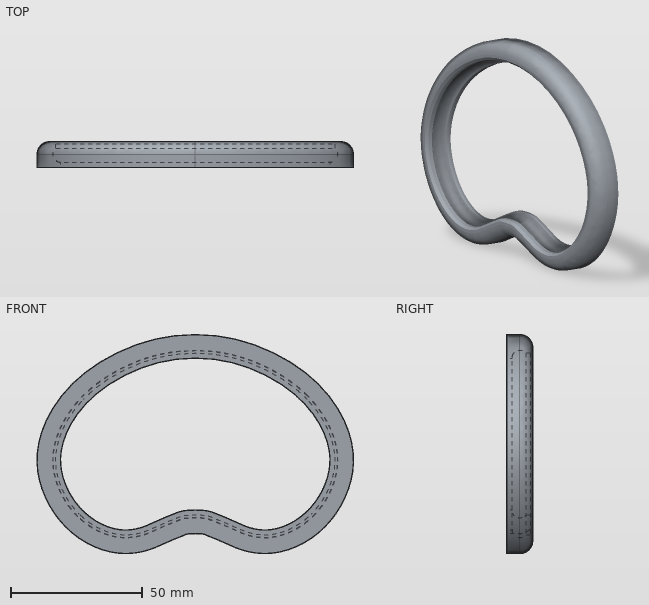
import cadquery as cq
import math

length = 120.0
depth = 10.0
top_height = 41.5
bottom_height = -34.0

rim_width = 9.0
back_radius = depth / 2
groove_radius = 3.0
back_bore_setback = 1.9
back_bore_chamfer = 1.0

half_outline = [
    (0, top_height),
    (28.2, 35.3),
    (49.2, 20.0),
    (length / 2, -6.0),
    (50.8, -29.6),
    (39.4, -38.4),
    (26.4, -41.5),
    (15.5, -39.4),
    (9.6, -36.7),
    (4.2, -34.5),
    (0, bottom_height),
]


def outline_path():
    """Smooth half outline, horizontal where it meets the symmetry plane."""
    points = [cq.Vector(x, 0, z) for x, z in half_outline]
    ends = [cq.Vector(1, 0, 0), cq.Vector(-1, 0, 0)]
    edge = cq.Edge.makeSpline(points, tangents=ends)
    return cq.Workplane("XY").newObject([cq.Wire.assembleEdges([edge])])


def rim_section():
    """Rim section at the top: flat front, rounded outer back edge, grooved inner side."""
    inner = top_height - rim_width
    middle = depth / 2
    groove_front = middle - groove_radius
    bore = inner + back_bore_setback
    groove_back = middle + math.sqrt(groove_radius**2 - back_bore_setback**2)
    round_offset = back_radius * math.sqrt(0.5)
    round_mid = (
        depth - back_radius + round_offset,
        top_height - back_radius + round_offset,
    )
    return (
        cq.Workplane("YZ")
        .moveTo(0, inner)
        .lineTo(0, top_height)
        .lineTo(depth - back_radius, top_height)
        .threePointArc(round_mid, (depth, top_height - back_radius))
        .lineTo(depth, bore + back_bore_chamfer)
        .lineTo(depth - back_bore_chamfer, bore)
        .lineTo(groove_back, bore)
        .threePointArc((middle, inner + groove_radius), (groove_front, inner))
        .close()
    )


right_half = rim_section().sweep(outline_path())
result = right_half.union(right_half.mirror("YZ"))